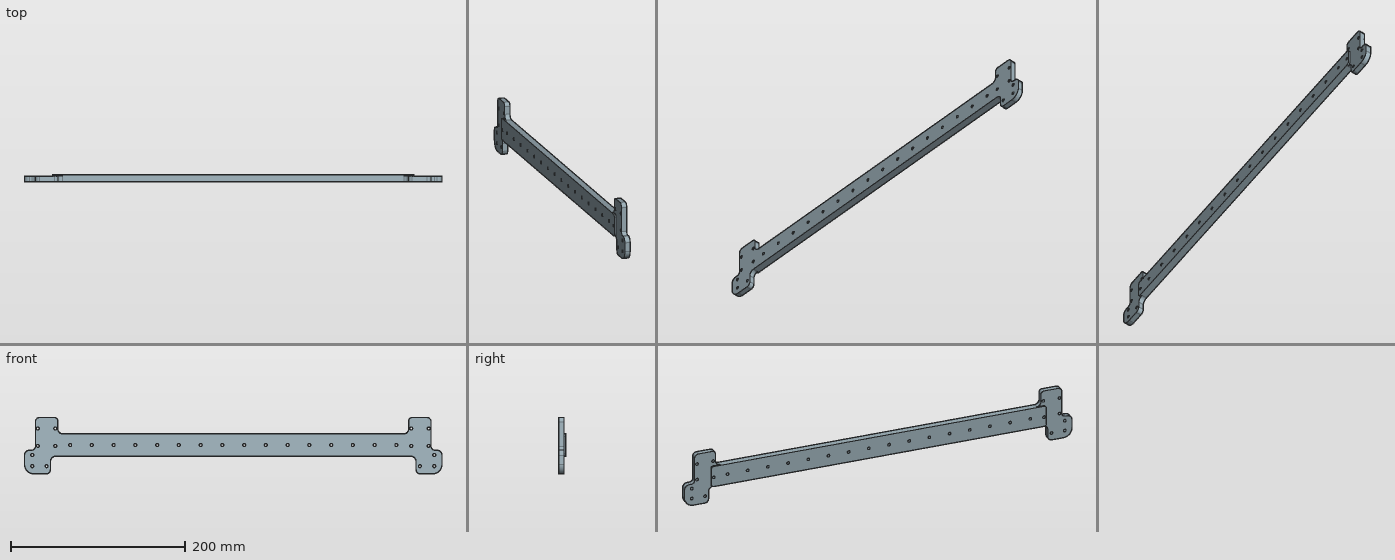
import cadquery as cq

length = 480.0
height = 65.0
total_thickness = 8.5
plate_thickness = 6.5
ridge_thickness = total_thickness - plate_thickness

half_length = length / 2
top_z = height / 2
bottom_z = -height / 2
front_y = -total_thickness / 2
plate_back_y = front_y + plate_thickness

bar_height = 26.0
bar_center_z = 0.75
bar_top_z = bar_center_z + bar_height / 2
bar_bottom_z = bar_center_z - bar_height / 2

tab_width = 26.0
tab_outer_x = 227.5
tab_inner_x = tab_outer_x - tab_width
foot_inner_x = 210.0
foot_top_z = -5.0

tab_outer_radius = 5.0
tab_inner_radius = 4.0
tab_root_radius = 5.5
step_root_radius = 4.0
foot_shoulder_radius = 6.0
foot_heel_radius = 11.0
foot_toe_radius = 5.0
foot_root_radius = 6.0

ridge_length = 415.0
ridge_corner_radius = 3.0

hole_diameter = 3.2
bar_hole_count = 16
bar_hole_pitch = 25.0
tab_hole_pitch = 20.0
tab_hole_center_x = tab_outer_x - tab_width / 2
tab_hole_center_z = 9.75
foot_hole_outer_x = 231.0
foot_hole_inner_x = 214.5
foot_hole_upper_z = -10.75
foot_hole_lower_z = -23.5


def extrude_back(sketch, depth):
    """Extrude an XZ sketch toward +Y."""
    return sketch.extrude(-depth)


def xz_plane(y):
    """Workplane facing -Y at the given Y position."""
    return cq.Workplane("XZ", origin=(0, y, 0))


def make_plate():
    """Plate symmetric about X = 0, with its corners rounded in mirrored pairs."""
    right_corners = [
        (tab_inner_x, bar_top_z, tab_root_radius),
        (tab_inner_x, top_z, tab_inner_radius),
        (tab_outer_x, top_z, tab_outer_radius),
        (tab_outer_x, foot_top_z, step_root_radius),
        (half_length, foot_top_z, foot_shoulder_radius),
        (half_length, bottom_z, foot_heel_radius),
        (foot_inner_x, bottom_z, foot_toe_radius),
        (foot_inner_x, bar_bottom_z, foot_root_radius),
    ]
    right_points = [(x, z) for x, z, _ in right_corners]
    left_points = [(-x, z) for x, z in reversed(right_points)]
    outline = xz_plane(front_y).polyline(right_points + left_points).close()
    plate = extrude_back(outline, plate_thickness)

    mid_y = front_y + plate_thickness / 2
    for x, z, radius in right_corners:
        for side_x in (x, -x):
            plate = plate.edges(cq.NearestToPointSelector((side_x, mid_y, z))).fillet(radius)
    return plate


def make_ridge():
    """Shallow round-cornered strip on the back face, as tall as the bar."""
    sketch = xz_plane(plate_back_y).center(0, bar_center_z).rect(ridge_length, bar_height)
    strip = extrude_back(sketch, ridge_thickness)
    return strip.edges("|Y").fillet(ridge_corner_radius)


def hole_centers():
    """Row along the bar, then a square of four on each tab and three on each foot."""
    first_bar_hole_x = -bar_hole_pitch * (bar_hole_count - 1) / 2
    centers = [(first_bar_hole_x + i * bar_hole_pitch, bar_center_z) for i in range(bar_hole_count)]
    tab_offsets = (-tab_hole_pitch / 2, tab_hole_pitch / 2)
    for side in (-1, 1):
        for dx in tab_offsets:
            for dz in tab_offsets:
                centers.append((side * (tab_hole_center_x + dx), tab_hole_center_z + dz))
        centers.append((side * foot_hole_outer_x, foot_hole_upper_z))
        centers.append((side * foot_hole_outer_x, foot_hole_lower_z))
        centers.append((side * foot_hole_inner_x, foot_hole_lower_z))
    return centers


def make_holes():
    """Cylinders that pass through the plate and the ridge."""
    sketch = xz_plane(front_y).pushPoints(hole_centers()).circle(hole_diameter / 2)
    return extrude_back(sketch, total_thickness)


result = make_plate().union(make_ridge()).cut(make_holes())